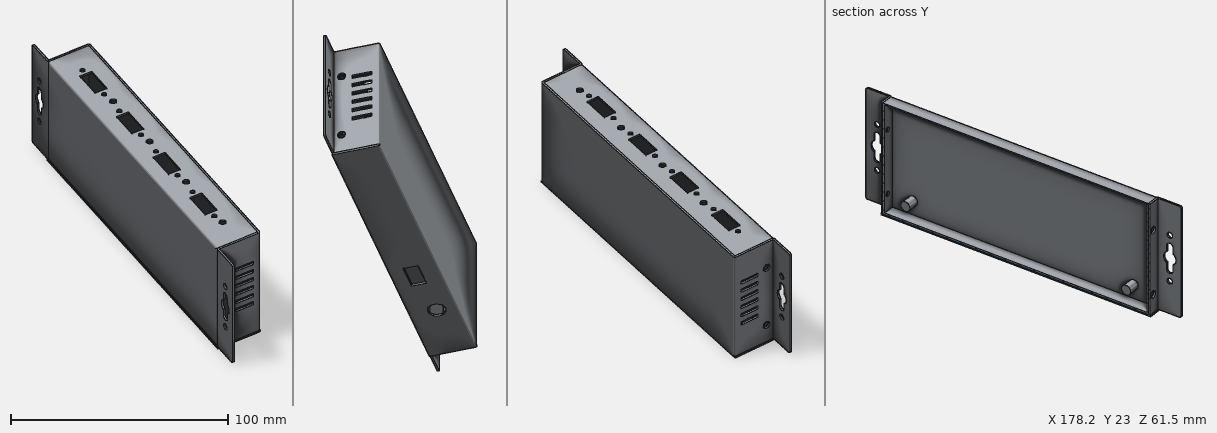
import cadquery as cq

sheet = 1.0
bottom_bend_radius = 0.9
slit = 0.09

overall_width = 178.2
box_width = 152.0
depth = 23.0
height = 61.5

half_box = box_width / 2
half_lid = half_box - sheet
back_inner = depth - sheet
top_inner = height - sheet
wall_bottom = sheet + slit

ear_corner_radius = 1.0
ear_hole_x = 82.7
ear_hole_diameter = 3.0
ear_hole_offset = 12.5
keyhole_z = (sheet + height) / 2
keyhole_diameter = 7.0
keyhole_slot_width = 3.5
keyhole_slot_length = 16.4

slot_count = 6
slot_pitch = 5.0
slot_length = 9.6
slot_height = 2.0
slot_y = 14.5
slot_middle_z = 31.9
slot_corner_radius = 0.5

screw_y = 4.6
screw_heights = (11.0, 46.0)
screw_clearance_diameter = 3.7
screw_tap_diameter = 2.5

connector_count = 4
connector_pitch = 32.6
first_connector_x = -52.2
connector_y = 10.7
connector_width = 13.7
connector_depth = 6.5
jack_screw_offset = 9.6
jack_screw_diameter = 2.3
lamp_pitch = 32.5
first_lamp_x = -36.4
lamp_y = 11.8
lamp_diameter = 3.2

power_hole_x = -45.1
power_hole_y = 13.2
power_hole_diameter = 8.5
port_x = -18.5
port_width = 13.2
port_depth = 7.1

lip_depth = 7.1
standoff_x = 62.4
standoff_z = 9.6
standoff_diameter = 5.2
standoff_length = 6.0


def block(x_range, y_range, z_range):
    """Axis-aligned block between the given limits."""
    (x0, x1), (y0, y1), (z0, z1) = x_range, y_range, z_range
    return cq.Workplane("XY").box(x1 - x0, y1 - y0, z1 - z0, centered=False).translate((x0, y0, z0))


def along_x(diameter, y, z):
    """Cylinder that runs across the full width."""
    return (
        cq.Workplane("YZ").center(y, z).circle(diameter / 2)
        .extrude(overall_width / 2, both=True)
    )


def along_y(diameter, x, z, length):
    """Cylinder that starts at the front face and runs back."""
    return cq.Workplane("XZ").center(x, z).circle(diameter / 2).extrude(-length)


def along_z(diameter, x, y, bottom, length):
    """Upright cylinder that starts at the height `bottom`."""
    return cq.Workplane("XY", origin=(x, y, bottom)).circle(diameter / 2).extrude(length)


def side_screws(diameter):
    """Cutters for the screws through both sides."""
    cutters = cq.Workplane("XY")
    for z in screw_heights:
        cutters = cutters.add(along_x(diameter, screw_y, z))
    return cutters.combine()


def hat_section():
    """Back, side walls and ears, bent from one sheet, above the bottom flange."""
    half_overall = overall_width / 2
    core = block((-half_box, half_box), (0, depth), (wall_bottom, height))
    core = core.edges("|Z and >Y").fillet(sheet)
    ears = block((-half_overall, half_overall), (0, sheet), (wall_bottom, height))
    ears = ears.edges("|Y").fillet(ear_corner_radius)
    cavity = block((-half_lid, half_lid), (0, back_inner), (wall_bottom, height))
    hat = core.union(ears).cut(cavity)
    for x in (-half_lid, half_lid):
        bend_edge = cq.selectors.NearestToPointSelector((x, 0, height / 2))
        hat = hat.edges(bend_edge).fillet(sheet)
    return hat


def bottom_flange():
    """Full-width flange bent forward from the lower edge of the back."""
    flange = block((-half_box, half_box), (0, depth), (0, sheet))
    flange = flange.edges(">Y and <Z").fillet(bottom_bend_radius)
    web = block((-half_lid, half_lid), (back_inner, depth), (sheet, wall_bottom))
    return flange.union(web)


def keyhole(x):
    """Cutter for the double-ended keyhole and the two plain holes of one ear."""
    cutter = along_y(keyhole_diameter, x, keyhole_z, sheet)
    slot = (
        cq.Workplane("XZ").center(x, keyhole_z)
        .slot2D(keyhole_slot_length, keyhole_slot_width, 90).extrude(-sheet)
    )
    cutter = cutter.union(slot)
    for offset in (-ear_hole_offset, ear_hole_offset):
        cutter = cutter.union(along_y(ear_hole_diameter, x, keyhole_z + offset, sheet))
    return cutter


def vent_slots():
    """Cutters for the row of slots through both side walls."""
    row = cq.Workplane("YZ", origin=(0, slot_y, slot_middle_z)).rarray(1.8, slot_pitch, 1, slot_count)
    slots = row.rect(slot_length, slot_height).extrude(overall_width / 2, both=True)
    return slots.edges("|X").fillet(slot_corner_radius)


def make_chassis():
    """Back, sides, bottom flange and ears."""
    chassis = hat_section().union(bottom_flange())
    for side in (-1, 1):
        chassis = chassis.cut(keyhole(side * ear_hole_x))
    chassis = chassis.cut(vent_slots())
    chassis = chassis.cut(side_screws(screw_clearance_diameter))
    chassis = chassis.cut(along_z(power_hole_diameter, power_hole_x, power_hole_y, 0, sheet))
    port = cq.Workplane("XY").center(port_x, connector_y).rect(port_width, port_depth).extrude(sheet)
    return chassis.cut(port)


def connector_opening(x):
    """Cutter for one connector window and its two jack screws."""
    cutter = (
        cq.Workplane("XY", origin=(x, connector_y, top_inner))
        .rect(connector_width, connector_depth).extrude(sheet)
    )
    for offset in (-jack_screw_offset, jack_screw_offset):
        cutter = cutter.union(along_z(jack_screw_diameter, x + offset, connector_y, top_inner, sheet))
    return cutter


def make_lid():
    """Front panel and full-depth top, with short lips at the sides and bottom."""
    lid = block((-half_lid, half_lid), (0, back_inner), (sheet, height))
    lid = lid.faces("<Y").edges().fillet(sheet)
    inner = half_lid - sheet
    lid = lid.cut(block((-inner, inner), (sheet, back_inner), (2 * sheet, top_inner)))
    lid = lid.cut(block((-half_lid, half_lid), (lip_depth, back_inner), (sheet, top_inner)))
    lid = lid.cut(side_screws(screw_tap_diameter))
    for index in range(connector_count):
        lid = lid.cut(connector_opening(first_connector_x + index * connector_pitch))
        lamp_x = first_lamp_x + index * lamp_pitch
        lid = lid.cut(along_z(lamp_diameter, lamp_x, lamp_y, top_inner, sheet))
    for x in (-standoff_x, standoff_x):
        standoff = along_y(standoff_diameter, x, standoff_z, sheet + standoff_length)
        lid = lid.union(standoff)
    return lid


chassis = make_chassis()
lid = make_lid()

result = cq.Compound.makeCompound([chassis.val(), lid.val()])